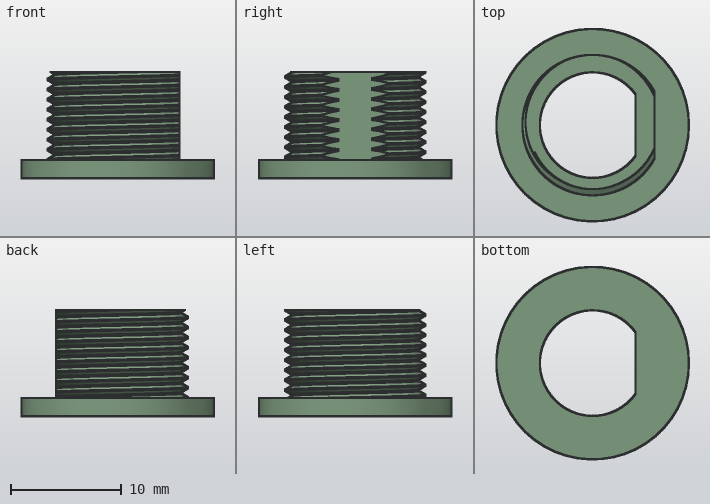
import cadquery as cq
import math

flange_diameter = 17.42
flange_thickness = 1.68

overall_height = 9.62
sleeve_height = overall_height - flange_thickness

inch = 25.4
thread_diameter = inch / 2
pitch = inch / 28
flank_half_angle = math.radians(30)
crest_width = pitch / 8
root_width = pitch / 6
thread_depth = (pitch - crest_width - root_width) / (2 * math.tan(flank_half_angle))
crest_radius = thread_diameter / 2
root_radius = crest_radius - thread_depth

cutter_overreach = 0.04
cutter_extra_turns = 1
rod_extra_turns = 3

bore_diameter = inch * 3 / 8
bore_flat_x = 3.87
outer_flat_x = 5.59


def d_shaped_prism(diameter, flat_x, bottom_z, height):
    """Upright cylinder on the Z axis, with everything beyond x = flat_x removed."""
    radius = diameter / 2
    flat_half_length = math.sqrt(radius**2 - flat_x**2)
    return (
        cq.Workplane("XY", origin=(0, 0, bottom_z))
        .moveTo(flat_x, -flat_half_length)
        .lineTo(flat_x, flat_half_length)
        .threePointArc((-radius, 0), (flat_x, -flat_half_length))
        .close()
        .extrude(height)
    )


def thread_groove():
    """Helical V groove whose centre crosses the +X side level with the top of the flange."""
    start_z = flange_thickness - cutter_extra_turns * pitch
    turns = math.ceil(sleeve_height / pitch) + 2 * cutter_extra_turns
    helix = cq.Wire.makeHelix(pitch, turns * pitch, root_radius, cq.Vector(0, 0, start_z))
    mouth_radius = crest_radius + cutter_overreach
    root_half_width = root_width / 2
    mouth_half_width = root_half_width + (mouth_radius - root_radius) * math.tan(flank_half_angle)
    profile = (
        cq.Workplane("XZ")
        .moveTo(root_radius, start_z - root_half_width)
        .lineTo(mouth_radius, start_z - mouth_half_width)
        .lineTo(mouth_radius, start_z + mouth_half_width)
        .lineTo(root_radius, start_z + root_half_width)
        .close()
    )
    return profile.sweep(cq.Workplane(obj=helix), isFrenet=True)


def threaded_sleeve():
    """Threaded cylinder with a flat running its full height, trimmed from a longer threaded rod."""
    rod_overhang = rod_extra_turns * pitch
    rod = (
        cq.Workplane("XY", origin=(0, 0, flange_thickness - rod_overhang))
        .circle(crest_radius)
        .extrude(sleeve_height + 2 * rod_overhang)
        .cut(thread_groove())
    )
    envelope = d_shaped_prism(thread_diameter, outer_flat_x, flange_thickness, sleeve_height)
    return rod.intersect(envelope)


flange = cq.Workplane("XY").circle(flange_diameter / 2).extrude(flange_thickness)
bore = d_shaped_prism(bore_diameter, bore_flat_x, 0, overall_height)

result = flange.union(threaded_sleeve()).cut(bore)